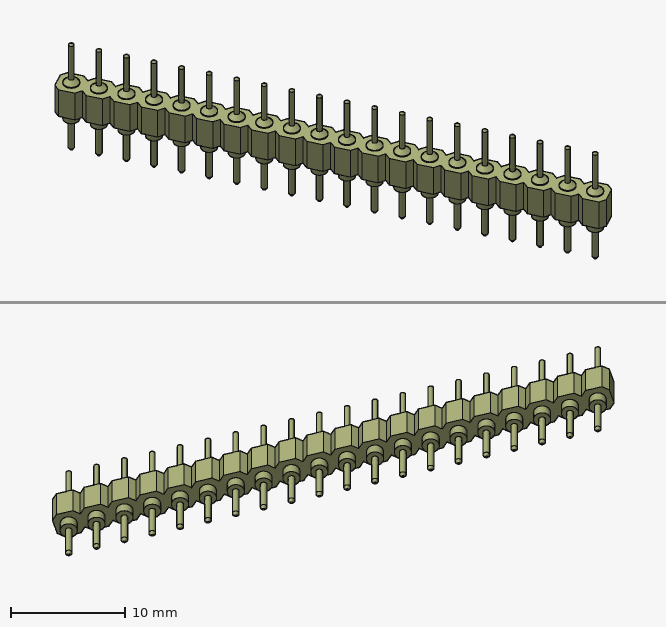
import cadquery as cq

pin_count = 20
pitch = 2.54

housing_height = 3.0
flat_width = 1.5
corner_chamfer = (pitch - flat_width) / 2

collar_diameter = 1.5
collar_drop = 1.0
collar_rise = 0.1
shoulder_height = 0.4
upper_pin_diameter = 0.5
lower_pin_diameter = 0.6
upper_reach = 4.5
lower_reach = 4.5
tip_chamfer = 0.2
upper_tip_length = 0.2
lower_tip_length = 0.3


def make_housing_cell():
    cell = cq.Workplane("XY").rect(pitch, pitch).extrude(housing_height)
    return cell.edges("|Z").chamfer(corner_chamfer)


def make_pin():
    """Revolve the half profile (radius, height) of one pin about Z."""
    top = housing_height + upper_reach
    bottom = -lower_reach
    collar_top = housing_height + collar_rise
    collar_radius = collar_diameter / 2
    upper_radius = upper_pin_diameter / 2
    lower_radius = lower_pin_diameter / 2
    profile = [
        (0, bottom),
        (lower_radius - tip_chamfer, bottom),
        (lower_radius, bottom + lower_tip_length),
        (lower_radius, -collar_drop),
        (collar_radius, -collar_drop),
        (collar_radius, collar_top),
        (upper_radius, collar_top + shoulder_height),
        (upper_radius, top - upper_tip_length),
        (upper_radius - tip_chamfer, top),
        (0, top),
    ]
    return cq.Workplane("XZ").polyline(profile).close().revolve(360, (0, 0), (0, 1))


cell = make_housing_cell().union(make_pin())
first_x = -pitch * (pin_count - 1) / 2

result = cell.translate((first_x, 0, 0))
for index in range(1, pin_count):
    result = result.union(cell.translate((first_x + index * pitch, 0, 0)))